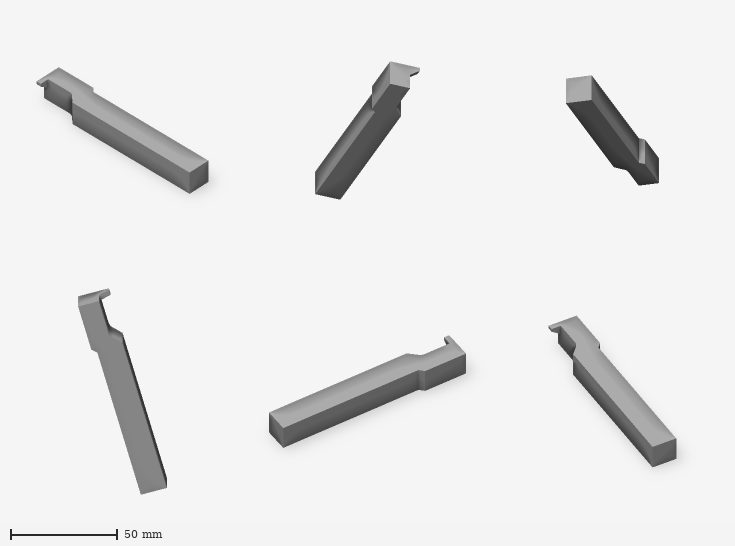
import cadquery as cq
import math

length = 100.0
height = 12.7
head_width = 15.0
shank_width = 12.7

tip_width = 2.8
relief_depth = 4.9
relief_end = 23.5
ramp_angle = math.radians(43)
relief_radius = 4.4
back_step_start = 22.7
back_step_length = 2.3

tip_thickness = 1.7
underside_angle = math.radians(35)

blend_run = relief_radius * math.sin(ramp_angle)
blend_rise = relief_radius * (1 - math.cos(ramp_angle))
ramp_run = (relief_depth - blend_rise) / math.tan(ramp_angle)
blend_end_x = relief_end - ramp_run
blend_start_x = blend_end_x - blend_run
blend_mid = (
    blend_start_x + relief_radius * math.sin(ramp_angle / 2),
    relief_depth - relief_radius * (1 - math.cos(ramp_angle / 2)),
)


def make_bar():
    """Plan outline of the shank, head and tip, extruded to full height."""
    return (
        cq.Workplane("XY")
        .moveTo(0, 0)
        .lineTo(tip_width, 0)
        .lineTo(tip_width, relief_depth)
        .lineTo(blend_start_x, relief_depth)
        .threePointArc(blend_mid, (blend_end_x, relief_depth - blend_rise))
        .lineTo(relief_end, 0)
        .lineTo(length, 0)
        .lineTo(length, shank_width)
        .lineTo(back_step_start + back_step_length, shank_width)
        .lineTo(back_step_start, head_width)
        .lineTo(0, head_width)
        .close()
        .extrude(height)
    )


def make_underside_cut():
    """Material removed below the tip, with a sloping roof."""
    outer_z = height - tip_thickness
    inner_z = outer_z - relief_depth * math.tan(underside_angle)
    return (
        cq.Workplane("YZ")
        .polyline([(0, 0), (relief_depth, 0), (relief_depth, inner_z), (0, outer_z)])
        .close()
        .extrude(tip_width)
    )


result = make_bar().cut(make_underside_cut())